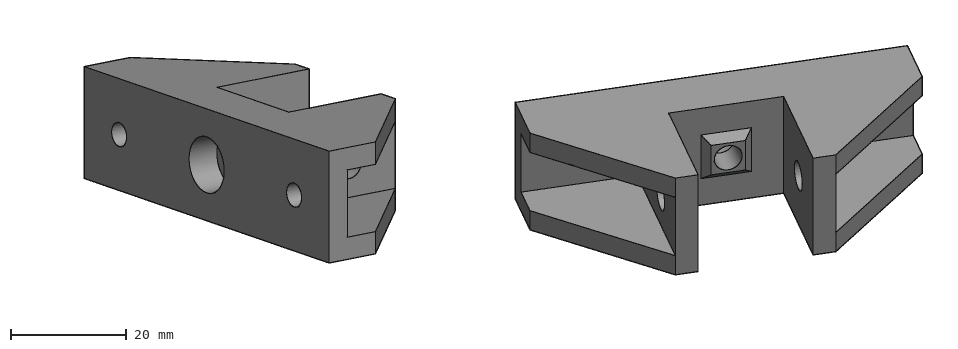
import cadquery as cq

length = 70.0
depth = 30.0
height = 20.0
base_depth = 10.0

slot_width = 20.5
arm_tip_width = 4.05
arm_tip_x = slot_width / 2 + arm_tip_width

pocket_height = 12.05
pocket_start_y = 4.0

mount_hole_diameter = 4.3
mount_hole_spacing = 50.0
arm_hole_diameter = 5.3
arm_hole_y = (base_depth + depth) / 2
center_hole_diameter = 5.0
counterbore_diameter = 10.0
counterbore_depth = 6.0

boss_base_width = 9.0
boss_height = 1.5
boss_side_angle = 45


def make_body():
    """Base bar with two tapered arms, symmetric about X and Z."""
    right_half = [
        (length / 2, 0),
        (length / 2, base_depth),
        (arm_tip_x, depth),
        (slot_width / 2, depth),
        (slot_width / 2, base_depth),
    ]
    left_half = [(-x, y) for x, y in reversed(right_half)]
    outline = cq.Workplane("XY").polyline(right_half + left_half).close()
    return outline.extrude(height / 2, both=True)


def make_boss():
    """Truncated square pyramid rising from the slot floor along +Y."""
    slot_floor = cq.Workplane("XZ", origin=(0, base_depth, 0))
    base = slot_floor.rect(boss_base_width, boss_base_width)
    return base.extrude(-boss_height, taper=boss_side_angle)


def make_pocket(side):
    """Pocket on one side (-1 or 1), open outward and toward +Y."""
    pocket = cq.Workplane("XY").box(
        length / 2 - arm_tip_x, depth - pocket_start_y, pocket_height
    )
    center_x = side * (length / 2 + arm_tip_x) / 2
    return pocket.translate((center_x, (depth + pocket_start_y) / 2, 0))


def hole_along_y(x, diameter, hole_depth):
    """Cylinder starting at the Y = 0 face and running toward +Y."""
    circle = cq.Workplane("XZ").center(x, 0).circle(diameter / 2)
    return circle.extrude(-hole_depth)


result = make_body().union(make_boss())

for side in (-1, 1):
    result = result.cut(make_pocket(side))
    mount_hole_x = side * mount_hole_spacing / 2
    result = result.cut(hole_along_y(mount_hole_x, mount_hole_diameter, depth))

result = result.cut(hole_along_y(0, center_hole_diameter, depth))
result = result.cut(hole_along_y(0, counterbore_diameter, counterbore_depth))

arm_hole = cq.Workplane("YZ").center(arm_hole_y, 0).circle(arm_hole_diameter / 2)
result = result.cut(arm_hole.extrude(length / 2, both=True))